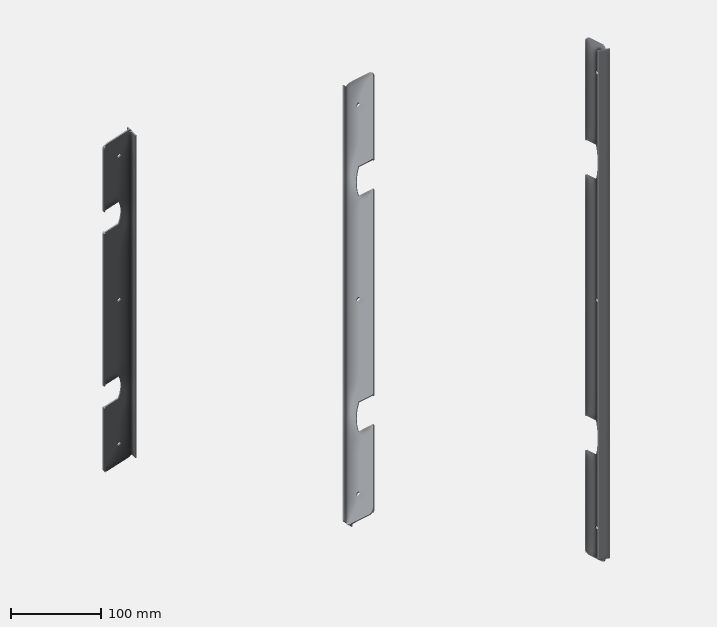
import cadquery as cq

length = 600.0
depth = 40.0
flange_width = 15.0
sheet = 1.5

web_left_x = -2.1
web_fillet_radius = 3.0
bead_left_x = -2.5
bead_width = 3.0
bead_depth = 2.0

flange_setback = 4.0
corner_radius = 6.0

notch_height = 40.0
notch_spacing = 320.0
notch_side_depth = 21.5
notch_floor_depth = 25.0

hole_diameter = 5.0
hole_spacing = 264.0
hole_from_back = 18.0

back_y = depth / 2
tip_y = -depth / 2
half_length = length / 2
web_right_x = web_left_x + sheet
through_width = 2 * flange_width


def t_profile():
    """Full-length strip: flange, web filleted on its +X side, and bead."""
    half_width = flange_width / 2
    flange_front_y = back_y - sheet
    bead_right_x = bead_left_x + bead_width
    bead_y = tip_y + bead_depth
    return (
        cq.Workplane("XY")
        .workplane(offset=-half_length)
        .moveTo(-half_width, back_y)
        .lineTo(half_width, back_y)
        .lineTo(half_width, flange_front_y)
        .lineTo(web_right_x + web_fillet_radius, flange_front_y)
        .radiusArc((web_right_x, flange_front_y - web_fillet_radius), -web_fillet_radius)
        .lineTo(web_right_x, bead_y)
        .lineTo(bead_right_x, bead_y)
        .lineTo(bead_right_x, tip_y)
        .lineTo(bead_left_x, tip_y)
        .lineTo(bead_left_x, bead_y)
        .lineTo(web_left_x, bead_y)
        .lineTo(web_left_x, flange_front_y)
        .lineTo(-half_width, flange_front_y)
        .close()
        .extrude(length)
    )


def web_outline():
    """Side outline with rounded corners, kept from the full-length profile."""
    return (
        cq.Workplane("XY")
        .box(through_width, depth, length)
        .edges("|X")
        .fillet(corner_radius)
    )


def flange_end(side):
    """Cutter that shortens the flange and its fillet beside the web at one end."""
    cutter_depth = 2 * (sheet + web_fillet_radius)
    cutter = cq.Workplane("XY").box(through_width, cutter_depth, flange_setback)
    kept_web = cq.Workplane("XY").box(sheet, cutter_depth, flange_setback)
    cutter = cutter.cut(kept_web.translate((web_left_x + sheet / 2, 0, 0)))
    return cutter.translate((0, back_y, side * (half_length - flange_setback / 2)))


def notch(center_z):
    half_height = notch_height / 2
    side_y = tip_y + notch_side_depth
    return (
        cq.Workplane("YZ")
        .workplane(offset=-through_width / 2)
        .moveTo(tip_y, center_z - half_height)
        .lineTo(side_y, center_z - half_height)
        .threePointArc((tip_y + notch_floor_depth, center_z), (side_y, center_z + half_height))
        .lineTo(tip_y, center_z + half_height)
        .close()
        .extrude(through_width)
    )


def web_hole(center_z):
    return (
        cq.Workplane("YZ")
        .workplane(offset=-through_width / 2)
        .center(back_y - hole_from_back, center_z)
        .circle(hole_diameter / 2)
        .extrude(through_width)
    )


result = t_profile().intersect(web_outline())

for side in (-1, 1):
    result = result.cut(flange_end(side))
    result = result.cut(notch(side * notch_spacing / 2))

for step in (-1, 0, 1):
    result = result.cut(web_hole(step * hole_spacing))